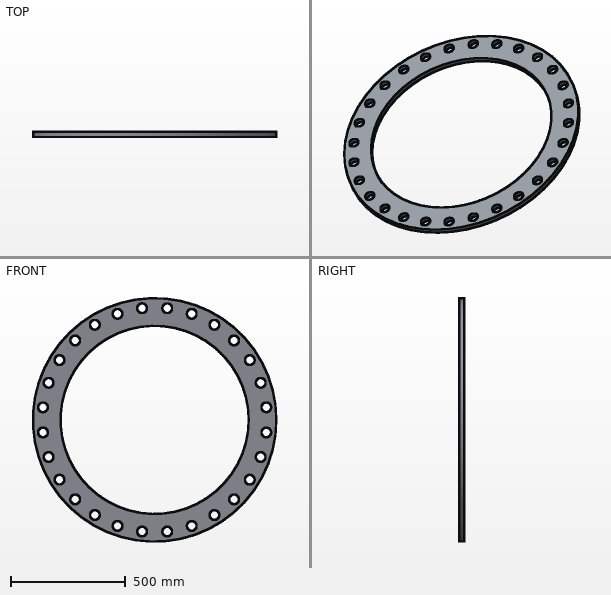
import cadquery as cq

outer_diameter = 1060.0
bore_diameter = 818.0
thickness = 23.0

bolt_circle_diameter = 978.0
bolt_hole_diameter = 41.0
bolt_count = 28
first_bolt_angle = 360 / bolt_count / 2

back_face = cq.Workplane("XZ", origin=(0, thickness / 2, 0))

ring = (
    back_face
    .circle(outer_diameter / 2)
    .circle(bore_diameter / 2)
    .extrude(thickness)
)

bolt_holes = (
    back_face
    .polarArray(bolt_circle_diameter / 2, first_bolt_angle, 360, bolt_count)
    .circle(bolt_hole_diameter / 2)
    .extrude(thickness)
)

result = ring.cut(bolt_holes)